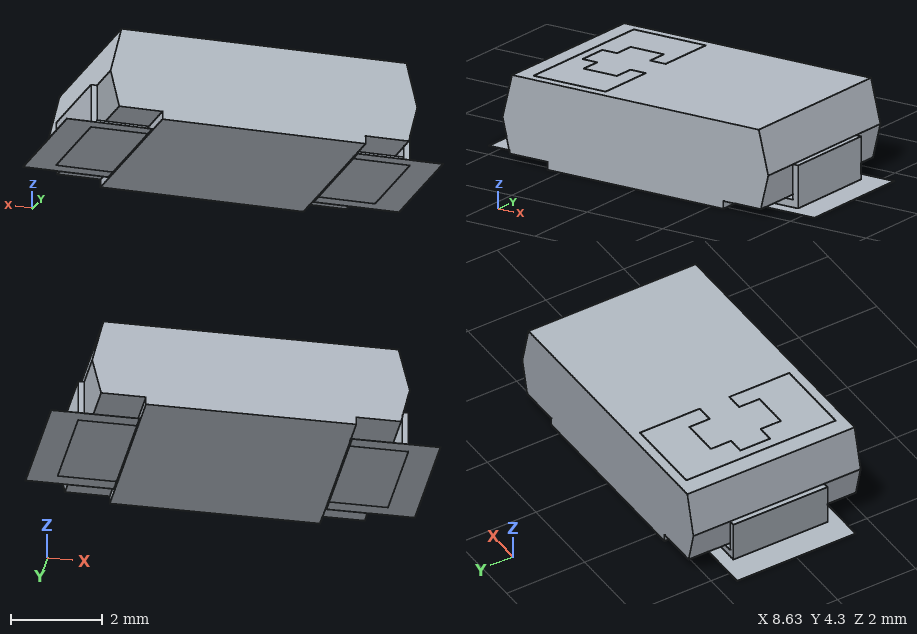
import cadquery as cq

length = 8.63
width = 4.3
height = 2.0

waist_half_length = 3.52
top_half_length = 3.27
shoulder_half_length = 3.32
foot_half_length = 2.33
waist_height = 0.99
shoulder_height = 0.18

lead_thickness = 0.14
lead_width = 2.42
lead_tip_gap = 0.03

pad_thickness = 0.004
pad_width = 3.05

mark_depth = 0.004
mark_left = -2.86
mark_right = -0.95
mark_width = 3.83
island_left = -2.62
island_arm_width = 0.76
crossbar_left = -2.235
crossbar_right = -1.355
crossbar_width = 1.795


def centered_box(x_min, x_max, y_width, z_min, z_max):
    """Block spanning the given X and Z ranges, centred on Y = 0."""
    return (
        cq.Workplane("XY")
        .box(x_max - x_min, y_width, z_max - z_min, centered=(False, True, False))
        .translate((x_min, 0, z_min))
    )


def extruded_profile(points, y_width):
    """XZ outline extruded symmetrically about Y = 0."""
    return cq.Workplane("XZ").polyline(points).close().extrude(y_width / 2, both=True)


def make_body():
    right_side = [
        (foot_half_length, 0),
        (foot_half_length, shoulder_height),
        (shoulder_half_length, shoulder_height),
        (waist_half_length, waist_height),
        (top_half_length, height),
    ]
    left_side = [(-x, z) for x, z in reversed(right_side)]
    return extruded_profile(right_side + left_side, width)


def make_mark():
    bottom = height - mark_depth
    field = centered_box(mark_left, mark_right, mark_width, bottom, height)
    arm = centered_box(island_left, mark_right, island_arm_width, bottom, height)
    crossbar = centered_box(crossbar_left, crossbar_right, crossbar_width, bottom, height)
    return field.cut(arm).cut(crossbar)


def make_terminal():
    """L-shaped lead and its solder pad at the +X end."""
    lead_inner = foot_half_length + lead_tip_gap
    lead_outer = waist_half_length + lead_thickness
    lead = extruded_profile(
        [
            (lead_inner, 0),
            (lead_outer, 0),
            (lead_outer, waist_height),
            (waist_half_length, waist_height),
            (waist_half_length, shoulder_height),
            (lead_inner, shoulder_height),
        ],
        lead_width,
    )
    pad = centered_box(lead_inner, length / 2, pad_width, 0, pad_thickness)
    return lead.union(pad)


terminal = make_terminal()
result = make_body().cut(make_mark()).union(terminal).union(terminal.mirror("YZ"))